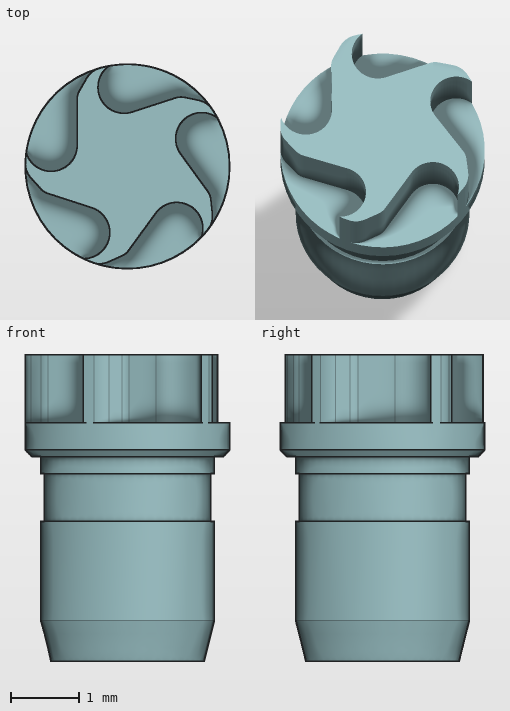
import cadquery as cq
import math

flange_radius = 3.0 / 2
body_radius = 2.55 / 2
groove_radius = 2.45 / 2
nose_radius = 1.125
flange_chamfer = 0.1

nose_top = 0.605
groove_bottom = 2.05
groove_top = 2.755
flange_bottom = 3.0
flange_top = 3.5
total_height = 4.5

tooth_count = 5
wall_offset = 0.74
pocket_radius = 0.382
pocket_center_y = 0.31
bend_y = 1.055
bend_radius = 0.248
tail_angle = 30.0
tail_length = 0.28
tip_angle = 106.6
clearance = 0.45


def polar(radius, angle):
    """Point at a radius and an angle in degrees from +X."""
    return radius * math.cos(math.radians(angle)), radius * math.sin(math.radians(angle))


def make_body():
    """Revolve the tapered nose, the grooved shank, the flange and the uncut head."""
    profile = [
        (0, 0),
        (nose_radius, 0),
        (body_radius, nose_top),
        (body_radius, groove_bottom),
        (groove_radius, groove_bottom),
        (groove_radius, groove_top),
        (body_radius, groove_top),
        (body_radius, flange_bottom),
        (flange_radius - flange_chamfer, flange_bottom),
        (flange_radius, flange_bottom + flange_chamfer),
        (flange_radius, total_height),
        (0, total_height),
    ]
    return cq.Workplane("XZ").polyline(profile).close().revolve(360, (0, 0), (0, 1))


def make_pocket():
    """Cutter for the pocket whose straight wall is parallel to Y, on the -X side."""
    lean = math.radians(tail_angle)
    tail_end = (-wall_offset + tail_length * math.sin(lean), bend_y + tail_length * math.cos(lean))
    tip_outside = polar(flange_radius + clearance, tip_angle)
    outside_x = -flange_radius - clearance
    center_x = -wall_offset - pocket_radius
    pocket = (
        cq.Workplane("XY", origin=(0, 0, flange_top))
        .moveTo(-wall_offset, pocket_center_y)
        .lineTo(-wall_offset, bend_y)
        .lineTo(*tail_end)
        .tangentArcPoint(polar(flange_radius, tip_angle), relative=False)
        .lineTo(*tip_outside)
        .lineTo(outside_x, tip_outside[1])
        .lineTo(outside_x, pocket_center_y)
        .lineTo(center_x - pocket_radius, pocket_center_y)
        .threePointArc((center_x, pocket_center_y - pocket_radius), (-wall_offset, pocket_center_y))
        .close()
        .extrude(total_height - flange_top)
    )
    bend_point = (-wall_offset, bend_y, (flange_top + total_height) / 2)
    return pocket.edges(cq.selectors.NearestToPointSelector(bend_point)).fillet(bend_radius)


result = make_body()
pocket = make_pocket()
for index in range(tooth_count):
    result = result.cut(pocket.rotate((0, 0, 0), (0, 0, 1), index * 360 / tooth_count))